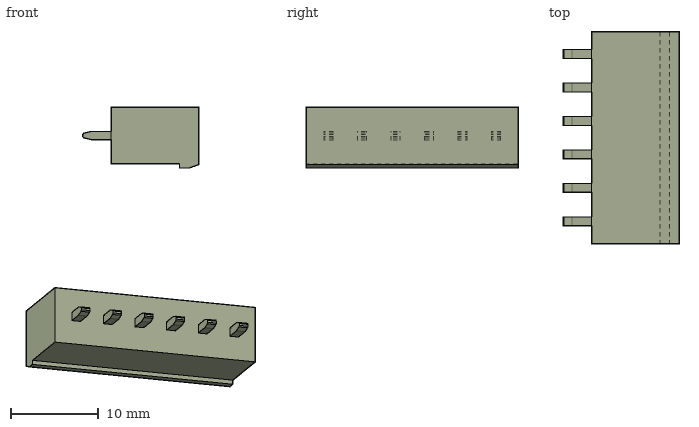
import cadquery as cq

housing_length = 24.18
housing_depth = 9.99
housing_height = 6.48

lip_drop = 0.48
lip_width = 2.22
lip_flat = 1.1
lip_nose_drop = 0.07

pin_count = 6
end_margin = 2.56
pin_pitch = (housing_length - 2 * end_margin) / (pin_count - 1)
pin_length = 3.26
pin_width = 1.05
pin_height = 0.97
pin_taper_length = 1.0
pin_shoulder_height = 0.53
pin_bevel_length = 0.12
pin_tip_height = 0.22


def make_housing():
    """Block and lip as one side profile; the pin face is at X = 0 and the underside at Z = 0."""
    lip_start = housing_depth - lip_width
    profile = [
        (0, 0),
        (lip_start, 0),
        (lip_start, -lip_drop),
        (lip_start + lip_flat, -lip_drop),
        (housing_depth, -lip_nose_drop),
        (housing_depth, housing_height),
        (0, housing_height),
    ]
    return cq.Workplane("XZ").polyline(profile).close().extrude(housing_length / 2, both=True)


def make_pin(center_y):
    """Flat pin pointing toward -X, tapered above and below, then bevelled to a blunt tip."""
    taper_start = pin_taper_length - pin_length
    bevel_start = pin_bevel_length - pin_length
    upper_half = [
        (0, pin_height / 2),
        (taper_start, pin_height / 2),
        (bevel_start, pin_shoulder_height / 2),
        (-pin_length, pin_tip_height / 2),
    ]
    lower_half = [(x, -z) for x, z in reversed(upper_half)]
    pin = cq.Workplane("XZ").polyline(upper_half + lower_half).close().extrude(pin_width / 2, both=True)
    return pin.translate((0, center_y, housing_height / 2))


result = make_housing()
first_pin_y = end_margin - housing_length / 2
for index in range(pin_count):
    result = result.union(make_pin(first_pin_y + index * pin_pitch))